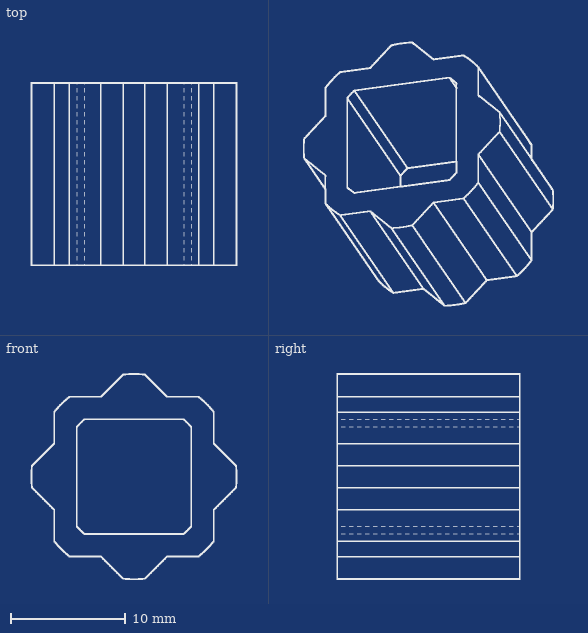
import cadquery as cq

outer_diameter = 17.99
length = 16.0
star_side = 14.0
bore_side = 10.0
bore_diameter = 13.25


def square_bar(side):
    """Square bar along Y, centred on the origin."""
    return cq.Workplane("XZ").rect(side, side).extrude(length / 2, both=True)


def round_bar(diameter):
    """Round bar along Y, centred on the origin."""
    return cq.Workplane("XZ").circle(diameter / 2).extrude(length / 2, both=True)


upright_square = square_bar(star_side)
turned_square = upright_square.rotate((0, 0, 0), (0, 1, 0), 45)
star = upright_square.union(turned_square)

body = star.intersect(round_bar(outer_diameter))

bore = square_bar(bore_side).intersect(round_bar(bore_diameter))

result = body.cut(bore)